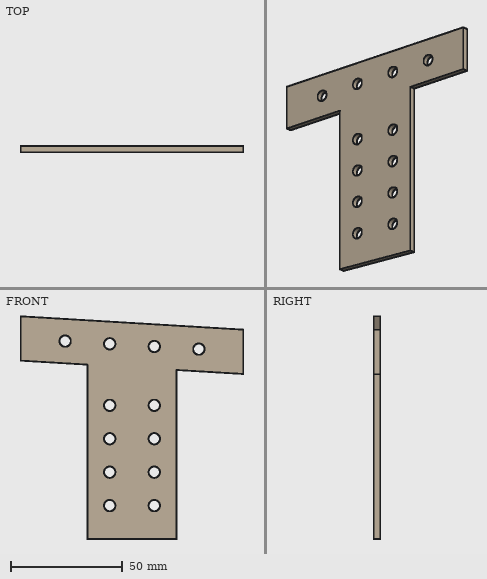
import cadquery as cq

width = 100.0
height = 100.0
thickness = 3.0
bar_depth = 20.0
bar_drop = 6.0
stem_width = 40.0
hole_diameter = 5.0
hole_spacing_x = 20.0
bar_hole_count = 4
stem_column_count = 2
stem_row_count = 4
stem_first_row_z = 15.0
stem_row_pitch = 15.0

bar_left = -width / 2
bar_right = width / 2
stem_left = -stem_width / 2
stem_right = stem_width / 2


def bar_top(x):
    """Height of the sloping top edge at x."""
    return height - bar_drop * (x - bar_left) / width


def bar_bottom(x):
    """Height of the sloping lower edge of the crossbar at x."""
    return bar_top(x) - bar_depth


def column_positions(count):
    """X positions of evenly spaced holes centred on the stem."""
    return [(i - (count - 1) / 2) * hole_spacing_x for i in range(count)]


def make_plate():
    """T-shaped plate whose crossbar slopes down toward +X."""
    outline = [
        (stem_left, 0),
        (stem_right, 0),
        (stem_right, bar_bottom(stem_right)),
        (bar_right, bar_bottom(bar_right)),
        (bar_right, bar_top(bar_right)),
        (bar_left, bar_top(bar_left)),
        (bar_left, bar_bottom(bar_left)),
        (stem_left, bar_bottom(stem_left)),
    ]
    return cq.Workplane("XZ").polyline(outline).close().extrude(thickness)


def make_hole_cutters():
    """Through holes along the middle of the crossbar and in a grid on the stem."""
    bar_holes = [(x, bar_top(x) - bar_depth / 2) for x in column_positions(bar_hole_count)]
    stem_holes = [
        (x, stem_first_row_z + row * stem_row_pitch)
        for x in column_positions(stem_column_count)
        for row in range(stem_row_count)
    ]
    return (
        cq.Workplane("XZ")
        .pushPoints(bar_holes + stem_holes)
        .circle(hole_diameter / 2)
        .extrude(thickness)
    )


result = make_plate().cut(make_hole_cutters())